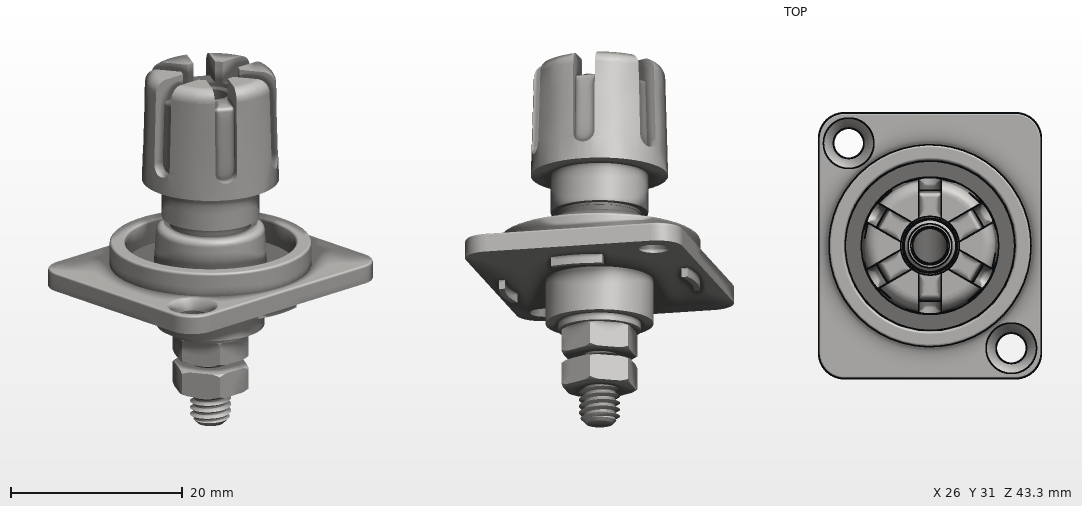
import cadquery as cq
import math


lower_nut_bottom = 4.3
nut_height = 3.0
upper_nut_bottom = 8.3
washer_bottom = upper_nut_bottom + nut_height
barrel_bottom = 12.13
plate_bottom = 17.32
plate_top = 19.55
ring_top = 22.35
boss_top = 24.43
neck_collar_bottom = 25.25
sleeve_bottom = 25.5
cap_bottom = 30.0
cap_top = 43.3

plate_x = 26.0
plate_y = 31.0
plate_corner_radius = 3.05
plate_edge_radius = 0.25
screw_x = 9.5
screw_y = 11.95
screw_hole_diameter = 3.5
countersink_diameter = 5.9
countersink_angle = 90

ring_radius = 11.8
ring_inner_radius = 10.0
ring_floor_radius = 9.87
ring_edge_radius = 0.3

tab_outer_radius = 11.75
tab_inner_radius = 11.05
tab_width = 6.15
tab_height = 1.1

washer_radius = 9.7 / 2
barrel_radius = 12.6 / 2
boss_base_radius = 6.63
boss_top_radius = barrel_radius
boss_edge_radius = 0.8
neck_radius = 9.53 / 2
neck_collar_radius = 9.7 / 2
sleeve_radius = 11.4 / 2

cap_base_radius = 8.0
cap_shoulder_radius = 7.62
cap_edge_radius = 1.5
slot_count = 6
slot_width = 2.6
slot_bottom = 32.05
core_top = 40.7
core_top_distance = 6.15
core_edge_radius = 0.48
core_base_distance = 6.5

well_radius = 6.85 / 2
well_floor = 36.4
tube_top = 40.55
tube_radius = 6.35 / 2
tube_bevel_radius = 6.05 / 2
tube_rim_outer_radius = 5.1 / 2
tube_rim_inner_radius = 4.45 / 2
tube_bore_radius = 4.05 / 2
tube_bore_bottom = 30.3

nut_across_flats = 8.0
nut_face_radius = 4.25
nut_corner_drop = 0.25
thread_radius = 4.8 / 2
thread_root_radius = 3.8 / 2
thread_pitch = 0.8
thread_crest_z = 1.3
stud_tip_radius = 1.55
stud_top = washer_bottom
thread_top = upper_nut_bottom + 0.85


def disc(radius, bottom, top):
    return cq.Workplane("XY").workplane(offset=bottom).circle(radius).extrude(top - bottom)


def turned(profile):
    """Revolve a closed (radius, z) polygon about the post axis."""
    return cq.Workplane("XZ").polyline(profile).close().revolve(360, (0, 0), (0, 1))


def make_plate():
    plate = (
        cq.Workplane("XY").workplane(offset=plate_bottom)
        .rect(plate_x, plate_y)
        .extrude(plate_top - plate_bottom)
        .edges("|Z").fillet(plate_corner_radius)
        .faces(">Z").edges().fillet(plate_edge_radius)
    )
    return (
        plate.faces(">Z").workplane(origin=(0, 0, 0))
        .pushPoints([(-screw_x, screw_y), (screw_x, -screw_y)])
        .cskHole(screw_hole_diameter, countersink_diameter, countersink_angle)
    )


def make_ring():
    ring = turned([
        (ring_floor_radius, plate_top),
        (ring_radius, plate_top),
        (ring_radius, ring_top),
        (ring_inner_radius, ring_top),
    ])
    return ring.faces(">Z").edges().fillet(ring_edge_radius)


def make_tabs():
    bottom = plate_bottom - tab_height
    band = disc(tab_outer_radius, bottom, plate_bottom).cut(disc(tab_inner_radius, bottom, plate_bottom))
    strip = cq.Workplane("XY").workplane(offset=bottom)
    strip_length = 2 * ring_radius
    strips = strip.rect(strip_length, tab_width).extrude(tab_height)
    strips = strips.union(strip.rect(tab_width, strip_length).extrude(tab_height))
    return band.intersect(strips)


def make_body():
    boss = turned([
        (0, plate_top),
        (boss_base_radius, plate_top),
        (boss_top_radius, boss_top),
        (0, boss_top),
    ]).faces(">Z").edges().fillet(boss_edge_radius)
    return (
        disc(washer_radius, washer_bottom, barrel_bottom)
        .union(disc(barrel_radius, barrel_bottom, plate_bottom))
        .union(boss)
        .union(disc(neck_radius, boss_top, neck_collar_bottom))
        .union(disc(neck_collar_radius, neck_collar_bottom, sleeve_bottom))
        .union(disc(sleeve_radius, sleeve_bottom, cap_bottom))
    )


def make_slot():
    """Cutter for the slot towards +X: a round-ended slot less the drafted core behind it."""
    half_width = slot_width / 2
    end_centre = slot_bottom + half_width
    opening = (
        cq.Workplane("YZ")
        .moveTo(-half_width, cap_top)
        .lineTo(-half_width, end_centre)
        .threePointArc((0, slot_bottom), (half_width, end_centre))
        .lineTo(half_width, cap_top)
        .close()
        .extrude(cap_base_radius)
    )
    core = (
        cq.Workplane("XZ")
        .polyline([
            (0, slot_bottom),
            (core_base_distance, slot_bottom),
            (core_top_distance, core_top),
            (0, core_top),
        ])
        .close()
        .extrude(half_width, both=True)
        .faces(">Z").edges(">X").fillet(core_edge_radius)
    )
    return opening.cut(core)


def make_bore():
    """Cutter for the socket bore, whose floor is a half-round trough along Y."""
    trough_centre = tube_bore_bottom + tube_bore_radius
    trough = (
        cq.Workplane("XZ")
        .center(0, trough_centre)
        .circle(tube_bore_radius)
        .extrude(tube_bore_radius, both=True)
    )
    rounded_floor = disc(tube_bore_radius, tube_bore_bottom, trough_centre).intersect(trough)
    return disc(tube_bore_radius, trough_centre, tube_top).union(rounded_floor)


def make_cap():
    cap = turned([
        (0, cap_bottom),
        (cap_base_radius, cap_bottom),
        (cap_shoulder_radius, cap_top),
        (0, cap_top),
    ]).faces(">Z").edges().fillet(cap_edge_radius)
    slot = make_slot()
    for index in range(slot_count):
        angle = 90 + index * 360 / slot_count
        cap = cap.cut(slot.rotate((0, 0, 0), (0, 0, 1), angle))
    tube_shoulder = tube_top - (tube_bevel_radius - tube_rim_outer_radius)
    tube = turned([
        (tube_bore_radius, well_floor),
        (tube_radius, well_floor),
        (tube_radius, tube_shoulder),
        (tube_bevel_radius, tube_shoulder),
        (tube_rim_outer_radius, tube_top),
        (tube_rim_inner_radius, tube_top),
        (tube_bore_radius, tube_top - (tube_rim_inner_radius - tube_bore_radius)),
    ])
    cap = cap.cut(disc(well_radius, well_floor, cap_top)).union(tube)
    return cap.cut(make_bore())


def make_nut(bottom):
    """Hexagon nut with two corners on the Y axis and turned-down corners."""
    corner_radius = nut_across_flats / 2 / math.cos(math.radians(30))
    top = bottom + nut_height
    hexagon = (
        cq.Workplane("XY").workplane(offset=bottom)
        .polygon(6, 2 * corner_radius)
        .extrude(nut_height)
        .rotate((0, 0, 0), (0, 0, 1), 90)
    )
    envelope = turned([
        (0, bottom),
        (nut_face_radius, bottom),
        (corner_radius, bottom + nut_corner_drop),
        (corner_radius, top - nut_corner_drop),
        (nut_face_radius, top),
        (0, top),
    ])
    return hexagon.intersect(envelope)


def make_stud():
    """Stud with a right-handed helical ridge, turned to a cone at the tip."""
    helix_start = thread_crest_z - 2 * thread_pitch
    ridge_sink = 0.1
    ridge_half_width = 0.35
    base_radius = thread_root_radius - ridge_sink
    helix = cq.Wire.makeHelix(
        thread_pitch, thread_top - helix_start, base_radius, cq.Vector(0, 0, helix_start)
    )
    ridge = (
        cq.Workplane("XZ")
        .polyline([
            (base_radius, helix_start - ridge_half_width),
            (thread_radius, helix_start),
            (base_radius, helix_start + ridge_half_width),
        ])
        .close()
        .sweep(cq.Workplane(helix), isFrenet=True)
    )
    envelope_radius = thread_radius + ridge_sink
    envelope = turned([
        (0, 0),
        (stud_tip_radius, 0),
        (envelope_radius, envelope_radius - stud_tip_radius),
        (envelope_radius, stud_top),
        (0, stud_top),
    ])
    return disc(thread_root_radius, 0, stud_top).union(ridge).intersect(envelope)


result = (
    make_body()
    .union(make_plate())
    .union(make_ring())
    .union(make_tabs())
    .union(make_cap())
    .union(make_stud())
    .union(make_nut(lower_nut_bottom))
    .union(make_nut(upper_nut_bottom))
)